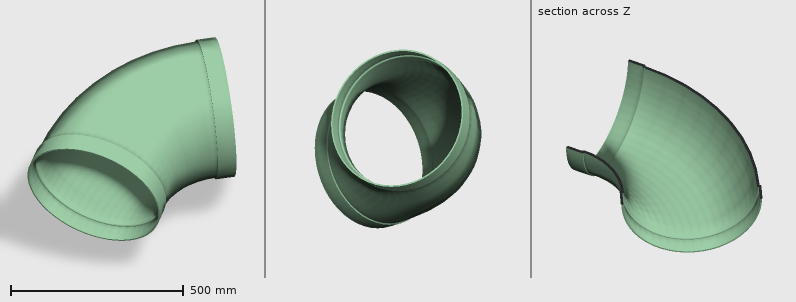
import cadquery as cq
import math

bend_angle = 60.0
overall_length = 605.0
collar_length = 54.5
collar_diameter = 409.0
pipe_diameter = 400.0
wall = 4.55

collar_radius = collar_diameter / 2
collar_bore_radius = collar_radius - wall
pipe_radius = pipe_diameter / 2
pipe_bore_radius = pipe_radius - wall
step_radius = collar_bore_radius - pipe_bore_radius

angle = math.radians(bend_angle)
bend_radius = (
    overall_length
    - collar_length * (1 + math.cos(angle))
    - collar_radius * math.sin(angle)
) / math.sin(angle)


def bend():
    """Hollow pipe that leaves the inlet along +Y and curves toward +X."""
    return (
        cq.Workplane("XZ")
        .circle(pipe_radius)
        .circle(pipe_bore_radius)
        .revolve(bend_angle, (bend_radius, 6, 0), (bend_radius, -6, 0))
    )


def collar():
    """Collar on the bend's inlet, its bore stepping in to a rounded shoulder at the pipe bore."""
    arc_reach = step_radius * math.sqrt(0.5)
    arc_middle = (collar_bore_radius - arc_reach, -arc_reach)
    return (
        cq.Workplane("XY")
        .moveTo(pipe_bore_radius, 0)
        .lineTo(collar_radius, 0)
        .lineTo(collar_radius, -collar_length)
        .lineTo(collar_bore_radius, -collar_length)
        .lineTo(collar_bore_radius, -step_radius)
        .threePointArc(arc_middle, (pipe_bore_radius, 0))
        .close()
        .revolve(360, (0, 0), (0, 1))
    )


inlet_collar = collar()
outlet_collar = (
    collar()
    .rotate((0, 0, 0), (1, 0, 0), 180)
    .rotate((bend_radius, 0, 0), (bend_radius, 0, 1), -bend_angle)
)

result = bend().union(inlet_collar).union(outlet_collar).translate((0, collar_length, 0))